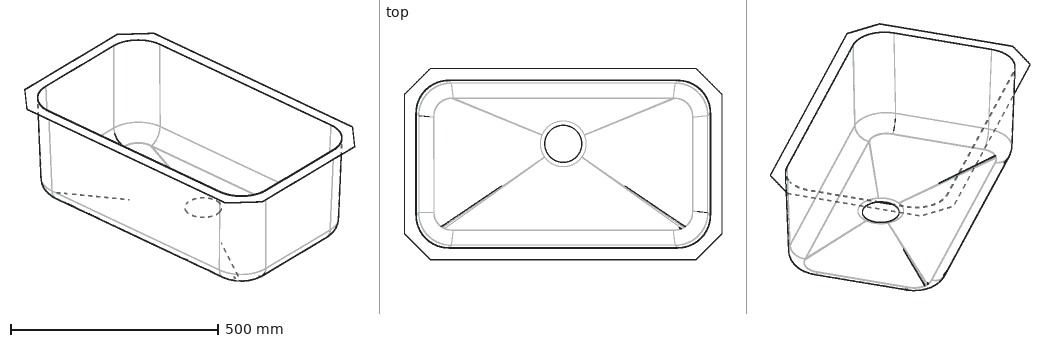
import cadquery as cq
import math

RIM_LENGTH = 767.0
RIM_WIDTH = 462.0
RIM_CORNER_CUT = 63.0

SHEET = 1.5
HEIGHT = 279.0
BOWL_LENGTH = 712.0
BOWL_WIDTH = 406.0
CORNER_RADIUS = 80.0
WALL_DRAFT = 1.5
WALL_DEPTH = 265.0
FLOOR_FILLET = 37.5

DRAIN_Y = 49.0
SEAT_RADIUS = 55.0
HOLE_RADIUS = 44.5
SEAT_DEPTH = 4.0

BACK_STRIP_WIDTH = 6.0
BACK_CREASE_DRAIN_ANGLE = 158.0
FRONT_CREASE_CORNER_ANGLE = 240.0
FRONT_CREASE_CORNER_SPAN = 7.0
FRONT_CREASE_DRAIN_ANGLE = 215.0
CREASE_DRAIN_SPAN = 1.0

FLOOR_LEDGE = 1.0

HALF_TURN = 180.0
FULL_TURN = 360.0

CURVE_STEPS = 12

FLOOR_DEPTH = HEIGHT - SEAT_DEPTH
WALL_LEAN = WALL_DEPTH * math.tan(math.radians(WALL_DRAFT))
FILLET_REACH = FLOOR_FILLET * math.tan(math.radians((90 - WALL_DRAFT) / 2))
FLOOR_HALF_LENGTH = BOWL_LENGTH / 2 - WALL_LEAN - FILLET_REACH - FLOOR_LEDGE
FLOOR_HALF_WIDTH = BOWL_WIDTH / 2 - WALL_LEAN - FILLET_REACH - FLOOR_LEDGE
FLOOR_RADIUS = CORNER_RADIUS - FILLET_REACH - FLOOR_LEDGE


def drafted_box(inset):
    """Rounded box narrowing downwards, with a rounded lower edge."""
    length = BOWL_LENGTH - 2 * inset
    width = BOWL_WIDTH - 2 * inset
    radius = CORNER_RADIUS - inset
    depth = WALL_DEPTH - inset
    lean = depth * math.tan(math.radians(WALL_DRAFT))
    upper = cq.Sketch().rect(length, width).vertices().fillet(radius)
    lower = cq.Sketch().rect(length - 2 * lean, width - 2 * lean).vertices().fillet(radius)
    lower = lower.moved(cq.Location(cq.Vector(0, 0, -depth)))
    box = cq.Workplane("XY").placeSketch(upper, lower).loft(ruled=True)
    return box.faces("<Z").edges().fillet(FLOOR_FILLET - inset)


def on_circle(center_x, center_y, radius, angle, z):
    turn = math.radians(angle)
    return cq.Vector(center_x + radius * math.cos(turn), center_y + radius * math.sin(turn), z)


def arc(center_x, center_y, radius, start, end, z):
    angles = (start, (start + end) / 2, end)
    return cq.Edge.makeThreePointArc(*(on_circle(center_x, center_y, radius, a, z) for a in angles))


def mirrored(edges):
    return [edge.mirror("YZ") for edge in edges]


def floor_outline(z):
    """Floor edge in five stretches: back, crease strip, side, crease strip, front."""
    corner_x = FLOOR_HALF_LENGTH - FLOOR_RADIUS
    corner_y = FLOOR_HALF_WIDTH - FLOOR_RADIUS
    crease_x = corner_x - BACK_STRIP_WIDTH
    front_crease_end = FRONT_CREASE_CORNER_ANGLE + FRONT_CREASE_CORNER_SPAN

    def line(x1, y1, x2, y2):
        return cq.Edge.makeLine(cq.Vector(x1, y1, z), cq.Vector(x2, y2, z))

    def corner(y, start, end):
        return arc(-corner_x, y, FLOOR_RADIUS, start, end, z)

    back = line(crease_x, FLOOR_HALF_WIDTH, -crease_x, FLOOR_HALF_WIDTH)
    back_strip = line(-crease_x, FLOOR_HALF_WIDTH, -corner_x, FLOOR_HALF_WIDTH)
    side = smooth_edge([
        corner(corner_y, 90, 180),
        line(-FLOOR_HALF_LENGTH, corner_y, -FLOOR_HALF_LENGTH, -corner_y),
        corner(-corner_y, 180, FRONT_CREASE_CORNER_ANGLE),
    ])
    front_strip = corner(-corner_y, FRONT_CREASE_CORNER_ANGLE, front_crease_end)
    left_corner = corner(-corner_y, front_crease_end, 270)
    front_line = line(-corner_x, -FLOOR_HALF_WIDTH, corner_x, -FLOOR_HALF_WIDTH)
    right_corner = arc(corner_x, -corner_y, FLOOR_RADIUS, 270, HALF_TURN - front_crease_end + FULL_TURN, z)
    front = smooth_edge([left_corner, front_line, right_corner])
    return back, back_strip, side, front_strip, front


def drain_outline(z):
    """Drain circle in five arcs that match the stretches of the floor outline."""
    back_start = BACK_CREASE_DRAIN_ANGLE - CREASE_DRAIN_SPAN
    front_end = FRONT_CREASE_DRAIN_ANGLE + CREASE_DRAIN_SPAN
    spans = [
        (HALF_TURN - back_start, back_start),
        (back_start, BACK_CREASE_DRAIN_ANGLE),
        (BACK_CREASE_DRAIN_ANGLE, FRONT_CREASE_DRAIN_ANGLE),
        (FRONT_CREASE_DRAIN_ANGLE, front_end),
        (front_end, HALF_TURN - front_end + FULL_TURN),
    ]
    return [arc(0, DRAIN_Y, SEAT_RADIUS, start, end, z) for start, end in spans]


def smooth_edge(edges):
    """One curve that follows a chain of tangent edges."""
    points = [edges[0].startPoint()]
    for edge in edges:
        points += edge.positions([step / CURVE_STEPS for step in range(1, CURVE_STEPS + 1)])
    tangents = [edges[0].tangentAt(0), edges[-1].tangentAt(1)]
    return cq.Edge.makeSpline(points, tangents)


def floor_funnel(inset):
    """Shallow funnel that carries the floor facets down to the drain seat."""
    outline = floor_outline(inset - WALL_DEPTH)
    drain = drain_outline(inset - FLOOR_DEPTH)
    facets = [cq.Face.makeRuledSurface(outer, inner) for outer, inner in zip(outline, drain)]
    facets += mirrored(facets[1:4])
    loops = [[*edges, *mirrored(edges[1:4])] for edges in (outline, drain)]
    caps = [cq.Face.makeFromWires(cq.Wire.combine(loop)[0]) for loop in loops]
    shell = cq.Shell.makeShell(facets + caps)
    return cq.Workplane(cq.Solid.makeSolid(shell).fix())


def drain_seat(inset):
    """Cone from the floor down to the drain hole."""
    seat = cq.Solid.makeCone(
        SEAT_RADIUS, HOLE_RADIUS, SEAT_DEPTH,
        cq.Vector(0, DRAIN_Y, inset - FLOOR_DEPTH), cq.Vector(0, 0, -1),
    )
    return cq.Workplane(seat)


def basin(inset):
    """Filled bowl shape, moved inwards by the inset."""
    return drafted_box(inset).union(floor_funnel(inset)).union(drain_seat(inset))


def make_bowl():
    hole = cq.Workplane("XY", origin=(0, DRAIN_Y, -HEIGHT)).circle(HOLE_RADIUS).extrude(HEIGHT)
    return basin(0).cut(basin(SHEET)).cut(hole)


def make_rim():
    plate = cq.Workplane("XY").rect(RIM_LENGTH, RIM_WIDTH).extrude(-SHEET)
    plate = plate.edges("|Z").chamfer(RIM_CORNER_CUT)
    return plate.cut(drafted_box(0))


bowl = make_bowl()
rim = make_rim()
result = cq.Compound.makeCompound([bowl.val(), rim.val()])